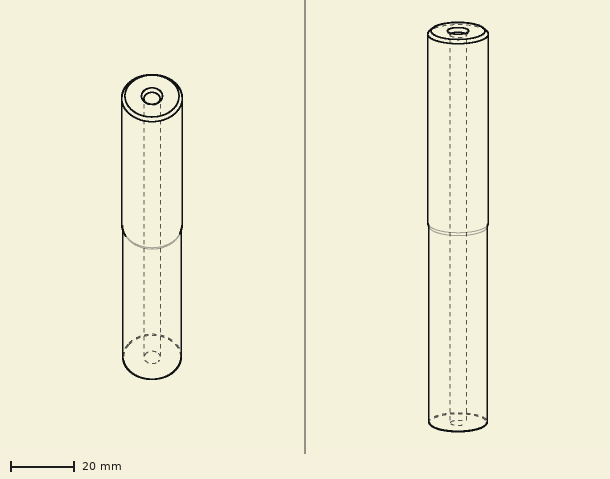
import cadquery as cq

length = 130.0
head_radius = 19.1 / 2
shank_radius = 18.5 / 2

top_chamfer = 1.0
bottom_chamfer = 0.3
shank_length = 65.3
step_taper_height = 1.0

bore_radius = 5.1 / 2
mouth_radius = 6.6 / 2
mouth_depth = 1.3


def make_body():
    """Half section in the XZ plane revolved about Z."""
    section = [
        (0, 0),
        (shank_radius - bottom_chamfer, 0),
        (shank_radius, bottom_chamfer),
        (shank_radius, shank_length),
        (head_radius, shank_length + step_taper_height),
        (head_radius, length - top_chamfer),
        (head_radius - top_chamfer, length),
        (0, length),
    ]
    return cq.Workplane("XZ").polyline(section).close().revolve(360, (0, 0), (0, 1))


def make_bore():
    """Through bore, widening towards the top face."""
    section = [
        (0, 0),
        (bore_radius, 0),
        (bore_radius, length - mouth_depth),
        (mouth_radius, length),
        (0, length),
    ]
    return cq.Workplane("XZ").polyline(section).close().revolve(360, (0, 0), (0, 1))


result = make_body().cut(make_bore())